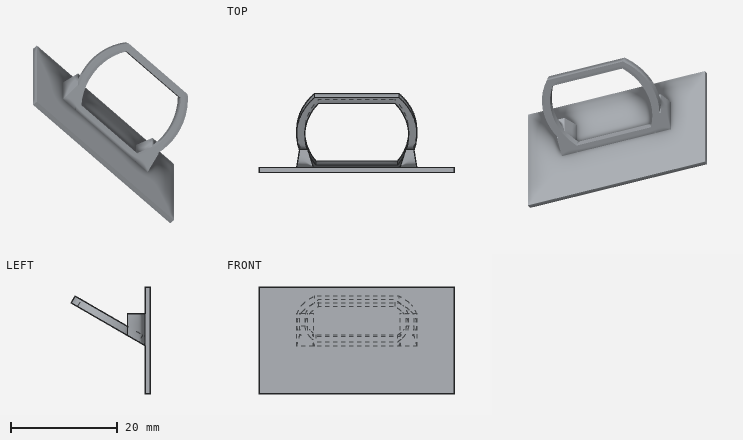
import cadquery as cq

plate_width = 36.6
plate_height = 20.0
plate_thickness = 1.0

ring_tilt = 30.0
ring_length = 16.03
ring_thickness = 1.5
ring_end_half_width = 7.87
ring_half_width = 11.27
window_length = 13.25
window_root_half_width = 7.65
window_tip_half_width = 7.2
window_half_width = 9.75
ring_root_z = -1.0

rib_depth = 3.33
rib_top_z = 5.0
rib_base_inner_x = 8.13
rib_base_outer_x = 11.27
rib_tip_inner_x = 9.2
rib_tip_outer_x = 10.72

ring_plane = cq.Plane(origin=(0, plate_thickness, ring_root_z)).rotated((ring_tilt, 0, 0))
ring_center = ring_length / 2


def barrel(length, root_half_width, tip_half_width, half_width, thickness):
    """Solid with two straight ends and two arc sides, lying on the ring plane."""
    low = ring_center - length / 2
    high = ring_center + length / 2
    return (
        cq.Workplane(ring_plane)
        .moveTo(-root_half_width, low)
        .lineTo(root_half_width, low)
        .threePointArc((half_width, ring_center), (tip_half_width, high))
        .lineTo(-tip_half_width, high)
        .threePointArc((-half_width, ring_center), (-root_half_width, low))
        .close()
        .extrude(thickness)
    )


def make_plate():
    return cq.Workplane("XY").box(
        plate_width, plate_thickness, plate_height, centered=(True, False, True)
    )


def make_rib(side):
    """Tapered rib on one side (+1 or -1), with its underside flush with the ring."""
    back = plate_thickness
    tip = plate_thickness + rib_depth
    rib = (
        cq.Workplane("XY", origin=(0, 0, ring_root_z))
        .polyline([
            (side * rib_base_inner_x, back),
            (side * rib_base_outer_x, back),
            (side * rib_tip_outer_x, tip),
            (side * rib_tip_inner_x, tip),
        ])
        .close()
        .extrude(rib_top_z - ring_root_z)
    )
    above_ring_plane = cq.Workplane(ring_plane).rect(plate_width, plate_width).extrude(plate_height)
    return rib.intersect(above_ring_plane)


ring_body = barrel(
    ring_length, ring_end_half_width, ring_end_half_width, ring_half_width, ring_thickness
)
window = barrel(
    window_length, window_root_half_width, window_tip_half_width, window_half_width, ring_thickness
)
ring = ring_body.cut(window)

result = make_plate().union(ring)
for side in (-1, 1):
    result = result.union(make_rib(side))